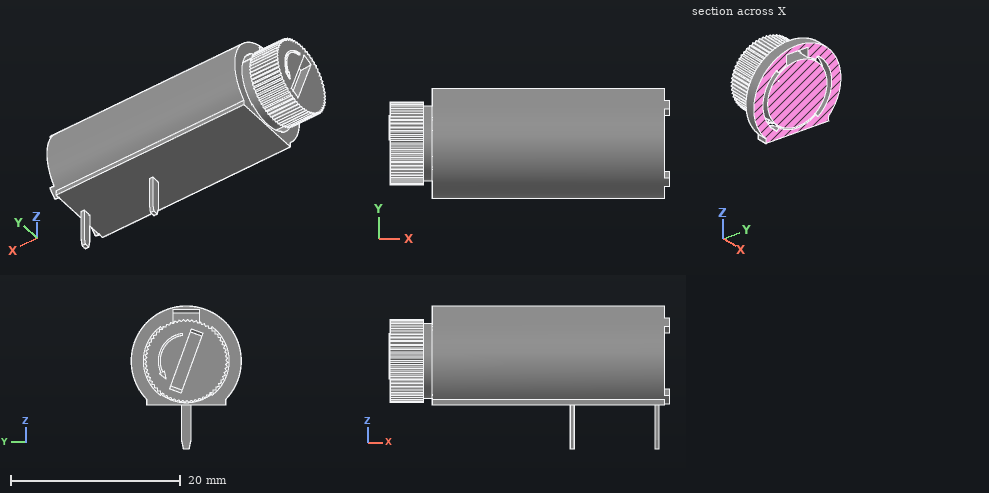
import cadquery as cq
import math


total_length = 33.1
mark_height = 0.13
cap_back = 4.1
body_front = 5.1
rear_tab_length = 0.6
body_back = total_length - rear_tab_length

body_diameter = 13.0
body_radius = body_diameter / 2
foot_half_width = 4.67
foot_depth = 5.2

socket_depth = 2.98
socket_radius = 4.57
mouth_radius_below = 4.93
mouth_taper_length = 1.0
side_recess_radius = 5.05
side_recess_half_angle = 53.0
keyway_width = 3.1
keyway_mouth_height = 6.1
keyway_inner_height = 5.65

knurl_radius = 4.9
knurl_root_radius = 4.67
tooth_count = 60
neck_radius = 4.45
cap_turn = 20.0

slot_length = 7.5
slot_width = 1.45
slot_depth = 1.4
slot_end_taper = 0.35

arrow_radius = 3.18
arrow_width = 0.23
arrow_head_width = 0.65
arrow_start_angle = 82.0
arrow_neck_angle = -25.0
arrow_tip_angle = -42.0

tab_width = 1.5
tab_inner_radius = 5.4
tab_angles = (45, 135, 225, 315)

pin_thickness = 0.5
pin_width = 1.13
pin_tip_width = 0.7
pin_taper_length = 1.03
pin_bottom = -10.4
pin_spacing = 10.0
front_pin_x = 21.6
pin_positions = (front_pin_x, front_pin_x + pin_spacing)


def polar(radius, angle):
    """Point (y, z) at an angle in degrees measured from +Y towards +Z."""
    return (radius * math.cos(math.radians(angle)), radius * math.sin(math.radians(angle)))


def cross_section(x):
    """Workplane across the axis at x, drawn in (y, z) and extruded towards +X."""
    return cq.Workplane("YZ", origin=(x, 0, 0))


def cylinder(radius, start, end):
    return cross_section(start).circle(radius).extrude(end - start)


def make_rear_tabs():
    """Bars behind the housing that reach out past its round outside."""
    bar = (
        cross_section(body_back)
        .center(tab_inner_radius + body_radius / 2, 0)
        .rect(body_radius, tab_width)
        .extrude(rear_tab_length)
    )
    tabs = cq.Workplane()
    for angle in tab_angles:
        tabs = tabs.add(bar.rotate((0, 0, 0), (1, 0, 0), angle))
    return tabs.combine()


def make_housing():
    """Round housing with a flat foot; its outside runs on into the rear tabs."""
    foot = (
        cross_section(body_front)
        .center(0, -foot_depth / 2)
        .rect(2 * foot_half_width, foot_depth)
        .extrude(body_back - body_front)
    )
    below_foot = (
        cross_section(body_front)
        .center(0, -foot_depth - body_radius / 2)
        .rect(2 * body_radius, body_radius)
        .extrude(total_length - body_front)
    )
    between_tabs = cylinder(2 * body_radius, body_back, total_length).cut(make_rear_tabs())
    barrel = cylinder(body_radius, body_front, total_length).cut(between_tabs)
    return barrel.union(foot).cut(below_foot)


def make_side_recess(side):
    """Sector that widens the socket; side is 0 for +Y and 180 for -Y."""
    low = side - side_recess_half_angle
    high = side + side_recess_half_angle
    return (
        cross_section(body_front)
        .lineTo(*polar(side_recess_radius, low))
        .threePointArc(polar(side_recess_radius, side), polar(side_recess_radius, high))
        .close()
        .extrude(socket_depth)
    )


def make_keyway():
    """Slot above the socket whose roof slopes down from the mouth."""
    return (
        cq.Workplane("XZ")
        .moveTo(body_front, 0)
        .lineTo(body_front, keyway_mouth_height)
        .lineTo(body_front + mouth_taper_length, keyway_inner_height)
        .lineTo(body_front + socket_depth, keyway_inner_height)
        .lineTo(body_front + socket_depth, 0)
        .close()
        .extrude(keyway_width / 2, both=True)
    )


def make_lower_taper():
    """Half cone that flares the lower side of the socket towards its mouth."""
    taper_end = body_front + mouth_taper_length
    return (
        cq.Workplane("XY")
        .moveTo(body_front, 0)
        .lineTo(body_front, mouth_radius_below)
        .lineTo(taper_end, socket_radius)
        .lineTo(taper_end, 0)
        .close()
        .revolve(180, (0, 0, 0), (-1, 0, 0))
    )


def make_socket():
    socket = cylinder(socket_radius, body_front, body_front + socket_depth)
    for side in (0, 180):
        socket = socket.union(make_side_recess(side))
    return socket.union(make_lower_taper()).union(make_keyway())


def make_knurl():
    """Toothed grip with one tooth on the line across the driver slot."""
    pitch = 360 / tooth_count
    points = []
    for tooth in range(tooth_count):
        points.append(polar(knurl_radius, cap_turn + tooth * pitch))
        points.append(polar(knurl_root_radius, cap_turn + (tooth + 0.5) * pitch))
    return cross_section(mark_height).polyline(points).close().extrude(cap_back - mark_height)


def make_driver_slot():
    """Slot with sloping ends, turned about the axis."""
    half_mouth = slot_length / 2
    half_floor = half_mouth - slot_end_taper
    floor_x = mark_height + slot_depth
    slot = (
        cq.Workplane("XZ")
        .moveTo(mark_height, -half_mouth)
        .lineTo(floor_x, -half_floor)
        .lineTo(floor_x, half_floor)
        .lineTo(mark_height, half_mouth)
        .close()
        .extrude(slot_width / 2, both=True)
    )
    return slot.rotate((0, 0, 0), (1, 0, 0), cap_turn)


def make_arrow():
    """Curved arrow on the +Y half of the cap face, pointing down."""
    outer = arrow_radius + arrow_width / 2
    inner = arrow_radius - arrow_width / 2
    middle_angle = (arrow_start_angle + arrow_neck_angle) / 2
    return (
        cross_section(0)
        .moveTo(*polar(outer, arrow_start_angle))
        .threePointArc(polar(outer, middle_angle), polar(outer, arrow_neck_angle))
        .lineTo(*polar(arrow_radius + arrow_head_width / 2, arrow_neck_angle))
        .lineTo(*polar(arrow_radius, arrow_tip_angle))
        .lineTo(*polar(arrow_radius - arrow_head_width / 2, arrow_neck_angle))
        .lineTo(*polar(inner, arrow_neck_angle))
        .threePointArc(polar(inner, middle_angle), polar(inner, arrow_start_angle))
        .close()
        .extrude(mark_height)
    )


def make_cap():
    neck = cylinder(neck_radius, cap_back, body_front + socket_depth)
    return make_knurl().union(neck).cut(make_driver_slot()).union(make_arrow())


def make_pin(x):
    """Flat pin with a tapered tip, standing down from the foot."""
    taper_start = pin_bottom + pin_taper_length
    return (
        cross_section(x - pin_thickness / 2)
        .moveTo(-pin_width / 2, -foot_depth)
        .lineTo(-pin_width / 2, taper_start)
        .lineTo(-pin_tip_width / 2, pin_bottom)
        .lineTo(pin_tip_width / 2, pin_bottom)
        .lineTo(pin_width / 2, taper_start)
        .lineTo(pin_width / 2, -foot_depth)
        .close()
        .extrude(pin_thickness)
    )


result = make_housing().cut(make_socket()).union(make_cap())
for pin_x in pin_positions:
    result = result.union(make_pin(pin_x))